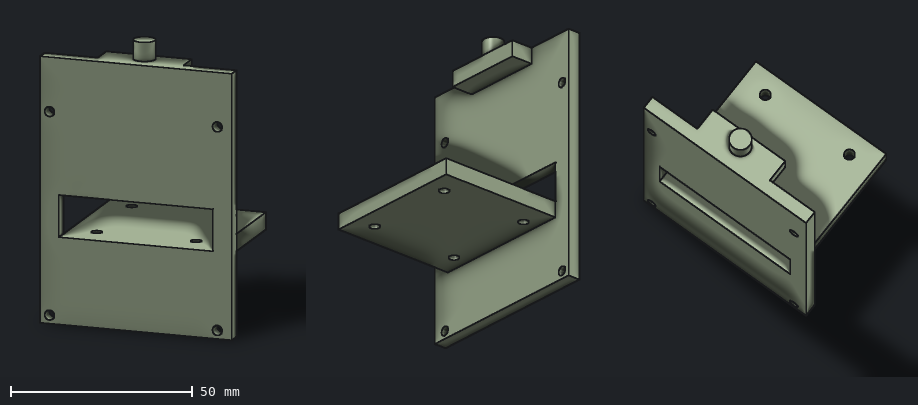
import cadquery as cq

overall_height = 81.5
plate_width = 56.0
plate_thickness = 4.0
plate_height = 76.0
plate_hole_diameter = 2.8
plate_hole_spacing_x = 49.0
plate_hole_spacing_z = 58.0
plate_hole_bottom_margin = 2.45
plate_hole_left_margin = 2.8

overall_depth = 44.0
shelf_width = 45.0
shelf_thickness = 5.0
shelf_bottom = 20.0
shelf_top = shelf_bottom + shelf_thickness
shelf_depth = overall_depth - plate_thickness
shelf_hole_diameter = 3.0
shelf_hole_spacing = 29.0
shelf_hole_rear_margin = 6.3

window_width = shelf_width
window_height = 12.0

block_width = 25.0
block_depth = 7.0
block_height = 5.0
pin_diameter = 6.3
pin_height = overall_height - plate_height
pin_center_y = plate_thickness + pin_diameter / 2


def centered_box(width, depth, height, front_y, bottom_z):
    """Box centred on X = 0, placed by its front and bottom faces."""
    box = cq.Workplane("XY").box(width, depth, height, centered=(True, False, False))
    return box.translate((0, front_y, bottom_z))


def make_plate():
    plate = centered_box(plate_width, plate_thickness, plate_height, 0, 0)
    window = centered_box(window_width, plate_thickness, window_height, 0, shelf_top)
    hole_center_x = plate_hole_left_margin + (plate_hole_spacing_x - plate_width) / 2
    hole_center_z = plate_hole_bottom_margin + plate_hole_spacing_z / 2
    holes = (
        cq.Workplane("XZ")
        .center(hole_center_x, hole_center_z)
        .rect(plate_hole_spacing_x, plate_hole_spacing_z, forConstruction=True)
        .vertices()
        .circle(plate_hole_diameter / 2)
        .extrude(-plate_thickness)
    )
    return plate.cut(window).cut(holes)


def make_shelf():
    shelf = centered_box(shelf_width, shelf_depth, shelf_thickness, plate_thickness, shelf_bottom)
    hole_center_y = overall_depth - shelf_hole_rear_margin - shelf_hole_spacing / 2
    holes = (
        cq.Workplane("XY")
        .workplane(offset=shelf_bottom)
        .center(0, hole_center_y)
        .rect(shelf_hole_spacing, shelf_hole_spacing, forConstruction=True)
        .vertices()
        .circle(shelf_hole_diameter / 2)
        .extrude(shelf_thickness)
    )
    return shelf.cut(holes)


def make_pin_block():
    block_bottom = plate_height - block_height
    block = centered_box(block_width, block_depth, block_height, plate_thickness, block_bottom)
    pin = (
        cq.Workplane("XY")
        .workplane(offset=plate_height)
        .center(0, pin_center_y)
        .circle(pin_diameter / 2)
        .extrude(pin_height)
    )
    return block.union(pin)


result = make_plate().union(make_shelf()).union(make_pin_block())